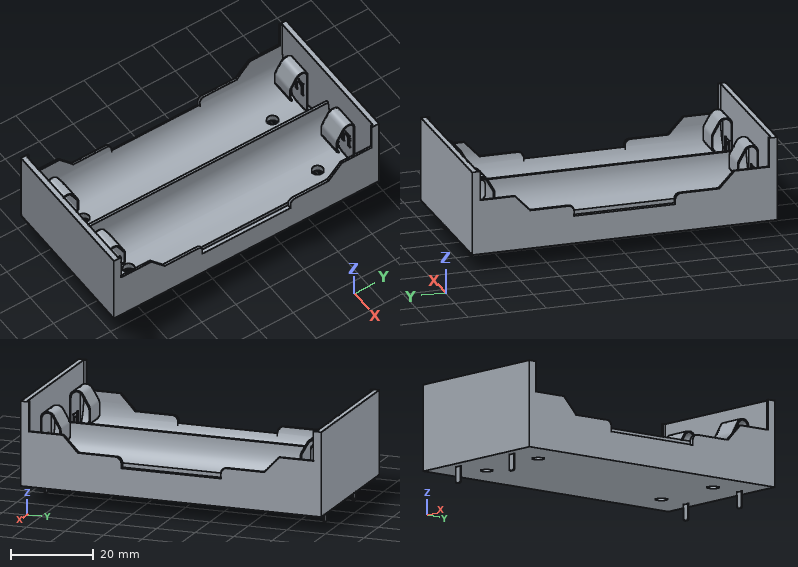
import cadquery as cq
import math

LENGTH = 78.0
WIDTH = 40.0
HEIGHT = 21.45
SIDE_WALL = 0.55
END_WALL = 1.5
DIVIDER = 0.7
TROUGH_AXIS_Z = 11.4

END_POST_Y = 36.9
SHOULDER_Y = 28.0
SHOULDER_Z = 14.0
RIM_Y = 24.1
RIM_Z = 9.8
NOTCH_Y = 12.95
LEDGE_Z = 7.1
LEDGE_DEPTH = 1.1
NOTCH_ROUND = 1.4

HOLE_DIAMETER = 3.0
HOLE_SPACING_X = 19.4
HOLE_CENTRE_X = 0.3
HOLE_Y = 27.8

CLIP_X = 10.1
CLIP_WIDTH = 6.5
STRIP = 0.3
CLIP_BACK_Y = 36.35
CROWN_RADIUS = 1.9
CROWN_TOP_Z = 17.4
SLOPE_ANGLE = 30.0
FRONT_Y = 31.05
FRONT_BEND_RADIUS = 1.95
FRONT_END_Z = 9.9
LIP_RADIUS = 0.6
LIP_LENGTH = 0.8
LIP_ANGLE = 35.0
WINDOW_WIDTH = 3.4
WINDOW_BOTTOM_Z = 6.55
WINDOW_TOP_Z = 10.8
TONGUE_TOP_Z = 9.75
TONGUE_ROUND = 0.6
PIN_WIDTH = 1.6
PIN_LENGTH = 4.05
PIN_CHAMFER = 0.3

trough_radius = (WIDTH / 2 - SIDE_WALL - DIVIDER / 2) / 2
trough_x = DIVIDER / 2 + trough_radius
floor_z = TROUGH_AXIS_Z - trough_radius


def side_cut():
    """Opening profile of a side wall, extruded inward from the -X face."""
    notch_top_y = NOTCH_Y + NOTCH_ROUND
    half = [(END_POST_Y, HEIGHT), (END_POST_Y, SHOULDER_Z), (SHOULDER_Y, SHOULDER_Z), (RIM_Y, RIM_Z)]
    mirrored = [(-y, z) for y, z in reversed(half)]
    round_mid = NOTCH_ROUND * math.sqrt(0.5)
    round_y = notch_top_y - round_mid
    round_z = RIM_Z - NOTCH_ROUND + round_mid
    return (
        cq.Workplane("YZ", origin=(-WIDTH / 2, 0, 0))
        .polyline(half)
        .lineTo(notch_top_y, RIM_Z)
        .threePointArc((round_y, round_z), (NOTCH_Y, RIM_Z - NOTCH_ROUND))
        .lineTo(NOTCH_Y, LEDGE_Z)
        .lineTo(-NOTCH_Y, LEDGE_Z)
        .lineTo(-NOTCH_Y, RIM_Z - NOTCH_ROUND)
        .threePointArc((-round_y, round_z), (-notch_top_y, RIM_Z))
        .polyline(mirrored, includeCurrent=True)
        .close()
        .extrude(LEDGE_DEPTH)
    )


def make_housing():
    inner_length = LENGTH - 2 * END_WALL
    body = cq.Workplane("XY").box(WIDTH, LENGTH, HEIGHT, centered=(True, True, False))
    upper_cavity = (
        cq.Workplane("XY", origin=(0, 0, TROUGH_AXIS_Z))
        .rect(WIDTH - 2 * SIDE_WALL, inner_length)
        .extrude(HEIGHT - TROUGH_AXIS_Z)
    )
    troughs = (
        cq.Workplane("XZ", origin=(0, inner_length / 2, 0))
        .pushPoints([(-trough_x, TROUGH_AXIS_Z), (trough_x, TROUGH_AXIS_Z)])
        .circle(trough_radius)
        .extrude(inner_length)
    )
    holes = (
        cq.Workplane("XY", origin=(HOLE_CENTRE_X, 0, 0))
        .rect(HOLE_SPACING_X, 2 * HOLE_Y, forConstruction=True)
        .vertices()
        .circle(HOLE_DIAMETER / 2)
        .extrude(TROUGH_AXIS_Z)
    )
    opening = side_cut()
    for cutter in (upper_cavity, troughs, holes, opening, opening.mirror("YZ")):
        body = body.cut(cutter)
    return body


def clip_centreline():
    """Centreline of the bent strip at the +Y end, from the trough floor over the crown to the lip."""
    slope = math.radians(SLOPE_ANGLE)
    lip = math.radians(LIP_ANGLE)
    half = STRIP / 2
    crown_radius = CROWN_RADIUS - half
    front_radius = FRONT_BEND_RADIUS - half
    lip_radius = LIP_RADIUS - half

    back_y = CLIP_BACK_Y - half
    crown_y = CLIP_BACK_Y - CROWN_RADIUS
    crown_z = CROWN_TOP_Z - CROWN_RADIUS
    front_y = FRONT_Y + half
    bend_y = FRONT_Y + FRONT_BEND_RADIUS
    lip_y = FRONT_Y + LIP_RADIUS

    def on_arc(y, z, radius, angle):
        return (y - radius * math.cos(angle), z + radius * math.sin(angle))

    slope_top_y, slope_top_z = on_arc(crown_y, crown_z, crown_radius, slope)
    slope_end_y = bend_y - front_radius * math.cos(slope)
    slope_end_z = slope_top_z - (slope_top_y - slope_end_y) / math.tan(slope)
    bend_z = slope_end_z - front_radius * math.sin(slope)
    lip_start_y, lip_start_z = on_arc(lip_y, FRONT_END_Z, lip_radius, -lip)

    return (
        cq.Workplane("YZ")
        .moveTo(back_y, floor_z)
        .lineTo(back_y, crown_z)
        .threePointArc((crown_y, crown_z + crown_radius), (slope_top_y, slope_top_z))
        .lineTo(slope_end_y, slope_end_z)
        .threePointArc(on_arc(bend_y, bend_z, front_radius, slope / 2), (front_y, bend_z))
        .lineTo(front_y, FRONT_END_Z)
        .threePointArc(on_arc(lip_y, FRONT_END_Z, lip_radius, -lip / 2), (lip_start_y, lip_start_z))
        .lineTo(lip_start_y + LIP_LENGTH * math.sin(lip), lip_start_z - LIP_LENGTH * math.cos(lip))
        .wire()
    )


def upright_plate(width, bottom_z, top_z):
    """Flat piece of sheet lying in the upright of the clip."""
    return (
        cq.Workplane("XY", origin=(0, CLIP_BACK_Y - STRIP / 2, bottom_z))
        .rect(width, STRIP)
        .extrude(top_z - bottom_z)
    )


def make_clip():
    """One clip centred on X = 0 at the +Y end, with its solder pin below."""
    strip = (
        cq.Workplane("XY", origin=(0, CLIP_BACK_Y - STRIP / 2, floor_z))
        .rect(CLIP_WIDTH, STRIP)
        .sweep(clip_centreline())
    )
    window = upright_plate(WINDOW_WIDTH, WINDOW_BOTTOM_Z, WINDOW_TOP_Z)
    tongue = (
        upright_plate(PIN_WIDTH, WINDOW_BOTTOM_Z, TONGUE_TOP_Z)
        .edges(">Z and |Y")
        .fillet(TONGUE_ROUND)
    )
    pin = (
        upright_plate(PIN_WIDTH, -PIN_LENGTH, floor_z)
        .edges("<Z and |Y")
        .chamfer(PIN_CHAMFER)
    )
    return strip.cut(window).union(tongue).union(pin)


def make_clips():
    far_clip = make_clip()
    near_clip = far_clip.mirror("XZ")
    return [clip.translate((x, 0, 0)) for x in (-CLIP_X, CLIP_X) for clip in (near_clip, far_clip)]


clips = make_clips()

housing = make_housing()
for clip in clips:
    housing = housing.cut(clip)

result = cq.Compound.makeCompound([housing.val(), *[clip.val() for clip in clips]])